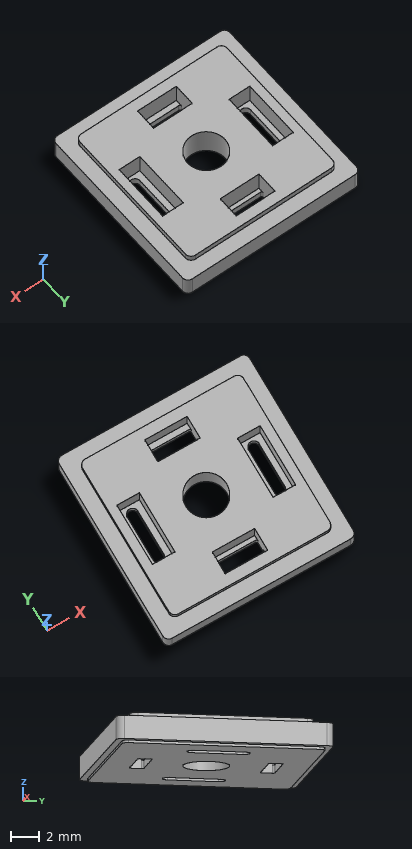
import cadquery as cq

body_side = 15.5
body_height = 1.67
body_corner_radius = 0.5
base_side = 14.5
base_height = 0.19
base_corner_radius = 0.4
raised_side = 13.1
raised_height = 0.5
raised_corner_radius = 0.5

bore_diameter = 3.3

pocket_width = 1.83
pocket_floor_thickness = 0.6
y_pocket_length = 3.44
y_pocket_offset = 4.75
y_slot_width = 1.02
y_slot_offset = 4.68
y_slot_corner_radius = 0.14
x_pocket_length = 4.99
x_pocket_offset = 4.9
x_slot_length = 4.5
x_slot_width = 0.85
x_slot_offset = 4.93

body_bottom = base_height
body_top = body_bottom + body_height
total_height = body_top + raised_height
pocket_depth = total_height - pocket_floor_thickness


def rounded_plate(side, height, corner_radius, bottom):
    """Square plate, centred on Z, with rounded vertical edges."""
    plate = cq.Workplane("XY").workplane(offset=bottom).rect(side, side).extrude(height)
    return plate.edges("|Z").fillet(corner_radius)


def pocket(size_x, size_y, center):
    """Rectangular cutter reaching from the pocket floor to the top face."""
    floor = cq.Workplane("XY").workplane(offset=pocket_floor_thickness)
    return floor.center(*center).rect(size_x, size_y).extrude(pocket_depth)


def round_slot(center):
    """Round-ended through cutter, long in Y."""
    sketch = cq.Workplane("XY").center(*center).slot2D(x_slot_length, x_slot_width, 90)
    return sketch.extrude(total_height)


def rectangular_slot(center):
    """Through cutter as long as its pocket, with small corner rounds."""
    slot = cq.Workplane("XY").center(*center).rect(y_pocket_length, y_slot_width).extrude(total_height)
    return slot.edges("|Z").fillet(y_slot_corner_radius)


base = rounded_plate(base_side, base_height, base_corner_radius, 0)
body = rounded_plate(body_side, body_height, body_corner_radius, body_bottom)
raised = rounded_plate(raised_side, raised_height, raised_corner_radius, body_top)
bore = cq.Workplane("XY").circle(bore_diameter / 2).extrude(total_height)
result = base.union(body).union(raised).cut(bore)

for side in (-1, 1):
    result = result.cut(pocket(pocket_width, x_pocket_length, (side * x_pocket_offset, 0)))
    result = result.cut(round_slot((side * x_slot_offset, 0)))
    result = result.cut(pocket(y_pocket_length, pocket_width, (0, side * y_pocket_offset)))
    result = result.cut(rectangular_slot((0, side * y_slot_offset)))